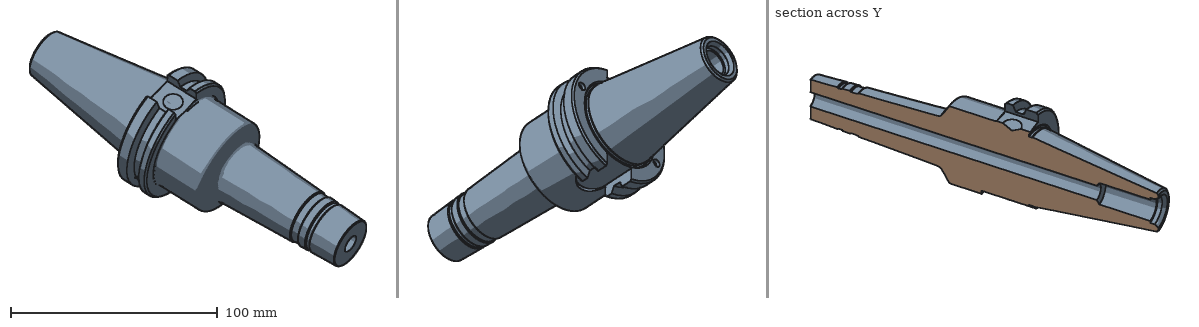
import cadquery as cq
import math

length = 188.2

taper_length = 68.0
taper_large_radius = 22.2
taper_slope = 7 / 24 / 2
taper_end_chamfer = 1.0
neck_radius = 43.9 / 2
neck_start = 68.5

flange_front = 69.3
flange_rear = 87.2
flange_radius = 31.6
flange_chamfer = 1.0
face_relief_radius = 23.7
face_relief_depth = 0.8
groove_center = 79.3
groove_floor_radius = 28.0
groove_floor_width = 4.0
groove_half_angle = math.radians(25)

body_radius = 49.5 / 2
body_root_fillet = 1.0
body_end = 113.1
shoulder_angle = math.radians(60)
shoulder_edge_fillet = 2.0
shoulder_root_fillet = 2.0

nose_tip_radius = 12.8
nose_slope = math.tan(math.radians(2.8))
nose_tip_chamfer = 0.4
nose_grooves = [(161.9, 166.8), (170.7, 173.5)]
nose_groove_depth = 0.5

clearance = 1.9

slot_width = 16.4
slot_end_center = 87.5
upper_slot_floor = 25.0
lower_slot_floor = 22.8
dimple_diameter = 9.6
dimple_half_angle = math.radians(59)

bore_mouth_radius = 9.5
bore_mouth_depth = 2.0
counterbore_radius = 8.0
counterbore_depth = 4.5
thread_bore_radius = 13.4 / 2
thread_bore_depth = 32.0
drill_half_angle = math.radians(59)
through_bore_radius = 8.8 / 2

coolant_angle = 20.0
coolant_pitch_radius = 27.0
coolant_axial_diameter = 3.2
coolant_counterbore_diameter = 4.1
coolant_counterbore_depth = 1.9
coolant_radial_diameter = 4.0


def make_body_root_fillet():
    """Ring that blends the body into the rear face of the flange."""
    outer = body_radius + body_root_fillet
    arc_middle = body_root_fillet * (1 - math.sqrt(0.5))
    profile = (
        cq.Workplane("XY")
        .moveTo(flange_rear, body_radius)
        .lineTo(flange_rear, outer)
        .threePointArc(
            (flange_rear + arc_middle, body_radius + arc_middle),
            (flange_rear + body_root_fillet, body_radius),
        )
        .close()
    )
    return profile.revolve(360, (0, 0, 0), (1, 0, 0))


def revolve_about_x(points):
    return cq.Workplane("XY").polyline(points).close().revolve(360, (0, 0, 0), (1, 0, 0))


def nose_radius(x):
    return nose_tip_radius + (length - x) * nose_slope


def make_taper_and_flange():
    taper_small_radius = taper_large_radius - taper_length * taper_slope
    return revolve_about_x([
        (0, 0),
        (0, taper_small_radius - taper_end_chamfer),
        (taper_end_chamfer, taper_small_radius + taper_end_chamfer * taper_slope),
        (taper_length, taper_large_radius),
        (neck_start, neck_radius),
        (flange_front + face_relief_depth, neck_radius),
        (flange_front + face_relief_depth, face_relief_radius - face_relief_depth),
        (flange_front, face_relief_radius),
        (flange_front, flange_radius - flange_chamfer),
        (flange_front + flange_chamfer, flange_radius),
        (flange_rear - flange_chamfer, flange_radius),
        (flange_rear, flange_radius - flange_chamfer),
        (flange_rear, 0),
    ])


def make_body_and_nose():
    steepness = math.tan(shoulder_angle)
    shoulder_end = body_end + (body_radius - nose_radius(body_end)) / (steepness - nose_slope)
    body = revolve_about_x([
        (flange_rear, 0),
        (flange_rear, body_radius),
        (body_end, body_radius),
        (shoulder_end, nose_radius(shoulder_end)),
        (length - nose_tip_chamfer, nose_radius(length - nose_tip_chamfer)),
        (length, nose_tip_radius - nose_tip_chamfer),
        (length, 0),
    ])
    body = fillet_circle(body, body_end, shoulder_edge_fillet)
    return fillet_circle(body, shoulder_end, shoulder_root_fillet)


def fillet_circle(solid, x, radius):
    """Round the circular edge that lies in the plane at `x`."""
    tolerance = 0.1
    near_x = cq.selectors.BoxSelector(
        (x - tolerance, -flange_radius, -flange_radius), (x + tolerance, flange_radius, flange_radius)
    )
    return solid.edges("%CIRCLE").edges(near_x).fillet(radius)


def make_flange_groove():
    half_floor = groove_floor_width / 2
    outer_radius = flange_radius + clearance
    half_top = half_floor + (outer_radius - groove_floor_radius) * math.tan(groove_half_angle)
    return revolve_about_x([
        (groove_center - half_floor, groove_floor_radius),
        (groove_center + half_floor, groove_floor_radius),
        (groove_center + half_top, outer_radius),
        (groove_center - half_top, outer_radius),
    ])


def make_nose_groove(start, end):
    """Shallow groove from `start` to `end` with walls sloping at 45 degrees."""
    floor_start = start + nose_groove_depth
    floor_end = end - nose_groove_depth
    return revolve_about_x([
        (start - clearance, nose_radius(start) + clearance),
        (floor_start, nose_radius(start) - nose_groove_depth),
        (floor_end, nose_radius(end) - nose_groove_depth),
        (end + clearance, nose_radius(end) + clearance),
    ])


def make_bore():
    drill_cone_length = (thread_bore_radius - through_bore_radius) / math.tan(drill_half_angle)
    return revolve_about_x([
        (0, 0),
        (0, bore_mouth_radius),
        (bore_mouth_depth, counterbore_radius),
        (counterbore_depth, counterbore_radius),
        (counterbore_depth, thread_bore_radius),
        (thread_bore_depth, thread_bore_radius),
        (thread_bore_depth + drill_cone_length, through_bore_radius),
        (length, through_bore_radius),
        (length, 0),
    ])


def make_drive_slot(floor):
    """Slot open toward the taper and upward, with its floor at height `floor`."""
    height = flange_radius - floor + clearance
    straight = slot_end_center - taper_length
    bottom = cq.Workplane("XY").workplane(offset=floor)
    channel = bottom.center(slot_end_center - straight / 2, 0).rect(straight, slot_width).extrude(height)
    round_end = bottom.center(slot_end_center, 0).circle(slot_width / 2).extrude(height)
    return channel.union(round_end)


def make_dimple():
    radius = dimple_diameter / 2
    depth = radius / math.tan(dimple_half_angle)
    cone = cq.Solid.makeCone(
        radius, 0, depth, cq.Vector(groove_center, 0, upper_slot_floor), cq.Vector(0, 0, -1)
    )
    return cq.Workplane(obj=cone)


def make_coolant_hole(angle):
    """Axial hole from the flange face meeting a radial hole from the V-groove."""
    face = cq.Workplane("YZ", origin=(flange_front, coolant_pitch_radius, 0))
    axial = face.circle(coolant_axial_diameter / 2).extrude(groove_center - flange_front)
    counterbore = face.circle(coolant_counterbore_diameter / 2).extrude(coolant_counterbore_depth)
    radial = (
        cq.Workplane("XZ", origin=(groove_center, coolant_pitch_radius, 0))
        .circle(coolant_radial_diameter / 2)
        .extrude(coolant_pitch_radius - flange_radius)
    )
    return axial.union(counterbore).union(radial).rotate((0, 0, 0), (1, 0, 0), angle)


result = make_taper_and_flange()
result = result.union(make_body_and_nose())
result = result.union(make_body_root_fillet())

result = result.cut(make_flange_groove())
for start, end in nose_grooves:
    result = result.cut(make_nose_groove(start, end))
result = result.cut(make_bore())

result = result.cut(make_drive_slot(upper_slot_floor))
result = result.cut(make_drive_slot(lower_slot_floor).rotate((0, 0, 0), (1, 0, 0), 180))
result = result.cut(make_dimple())
for angle in (coolant_angle, coolant_angle + 180):
    result = result.cut(make_coolant_hole(angle))